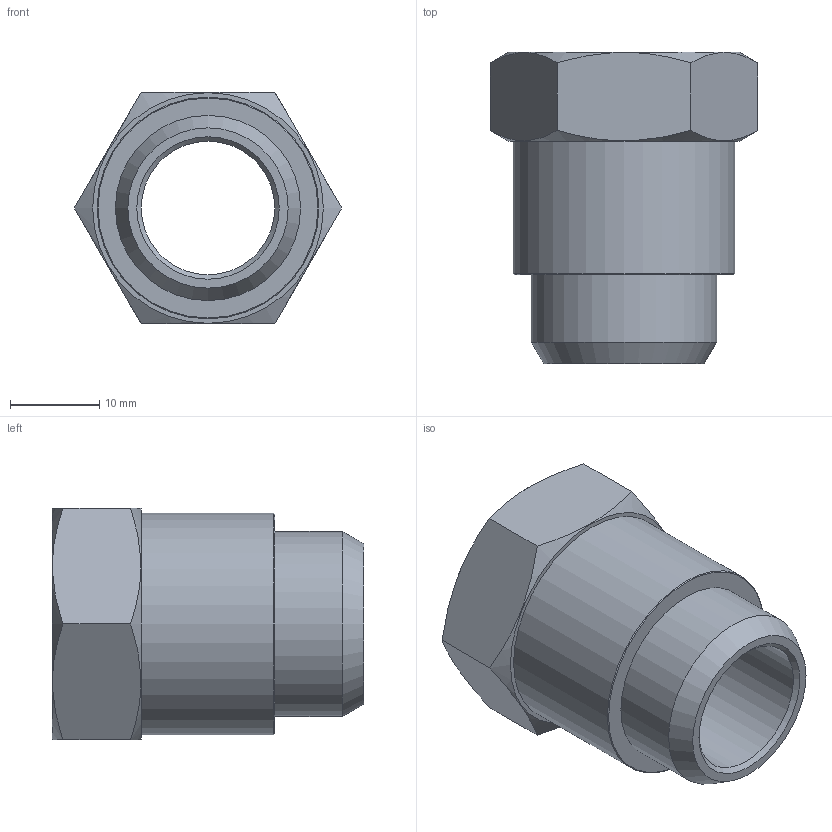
import cadquery as cq
import math

across_flats = 26.0
head_length = 10.0
head_bevel_angle = 30.0
head_face_diameter = 25.9
corner_clearance = 1.0

body_diameter = 24.9
body_length = 15.0
body_edge_chamfer = 0.1
spigot_diameter = 20.8
spigot_length = 10.0
spigot_chamfer_width = 1.4
spigot_chamfer_angle = 30.0

bore_diameter = 15.0
bore_chamfer = 0.5

body_end = spigot_length + body_length
total_length = body_end + head_length
across_corners = across_flats * 2 / math.sqrt(3)


def revolve_profile(points):
    """Revolve a closed (radius, Y) profile about the Y axis."""
    return cq.Workplane("XY").polyline(points).close().revolve(360, (0, 0, 0), (0, 1, 0))


def make_head():
    """Hexagonal prism with flats facing Z, its corners bevelled at both ends."""
    prism = (
        cq.Workplane("XZ", origin=(0, total_length, 0))
        .polygon(6, across_corners)
        .extrude(head_length)
    )
    face_radius = head_face_diameter / 2
    envelope_radius = across_corners / 2 + corner_clearance
    bevel_length = (envelope_radius - face_radius) * math.tan(math.radians(head_bevel_angle))
    envelope = revolve_profile([
        (0, body_end),
        (face_radius, body_end),
        (envelope_radius, body_end + bevel_length),
        (envelope_radius, total_length - bevel_length),
        (face_radius, total_length),
        (0, total_length),
    ])
    return prism.intersect(envelope)


def make_body():
    """Round body stepping down to a spigot with a tapered lead-in."""
    body_radius = body_diameter / 2
    spigot_radius = spigot_diameter / 2
    taper_length = spigot_chamfer_width / math.tan(math.radians(spigot_chamfer_angle))
    return revolve_profile([
        (0, 0),
        (spigot_radius - spigot_chamfer_width, 0),
        (spigot_radius, taper_length),
        (spigot_radius, spigot_length),
        (body_radius - body_edge_chamfer, spigot_length),
        (body_radius, spigot_length + body_edge_chamfer),
        (body_radius, body_end),
        (0, body_end),
    ])


def make_bore():
    """Through bore, countersunk at the spigot end."""
    bore_radius = bore_diameter / 2
    return revolve_profile([
        (0, 0),
        (bore_radius + bore_chamfer, 0),
        (bore_radius, bore_chamfer),
        (bore_radius, total_length),
        (0, total_length),
    ])


result = make_head().union(make_body()).cut(make_bore())